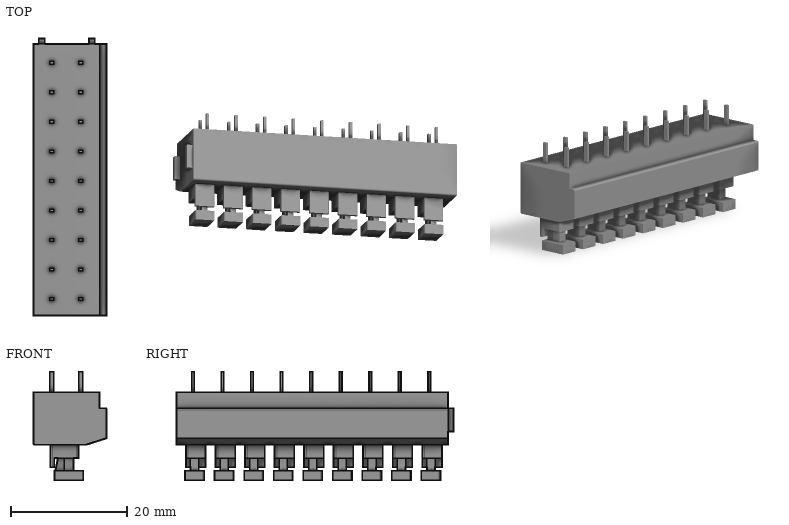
import cadquery as cq


body_length = 46.75
body_width = 12.6
body_height = 9.05
step_width = 1.2
step_depth = 2.7
bevel_width = 3.55
bevel_height = 1.15
edge_radius = 0.3

tab_width = 1.05
tab_length = 0.95
tab_height = 4.05
tab_left_edges = (0.9, 9.55)

contact_count = 9
contact_span = 40.65
pitch = contact_span / (contact_count - 1)
end_margin = 2.85
first_contact_y = end_margin - body_length / 2

pin_width = 0.7
pin_thickness = 0.5
pin_height = 3.55
row_count = 2
first_row_x = 3.15
row_spacing = 5.0

sleeve_width = 4.9
sleeve_thickness = 3.45
sleeve_depth = 2.3
sleeve_x = 2.85
sleeve_offset_y = 0.5
sleeve_radius = 0.4
skirt_width = 0.75
skirt_depth = 3.85

button_depth = 6.1
button_offset_y = 0.3
cap_x = 3.65
cap_width = 4.95
cap_thickness = 3.35
cap_height = 1.65
stem_x = 5.35
stem_width = 1.57
stem_thickness = 1.45
wedge_thickness = 0.95
wedge_top_x = 4.2
wedge_bottom_x = 3.75


def block(x, y, z, width, length, height):
    """Box with its -X side at x, centred on y, with its underside at z."""
    return cq.Workplane("XY").box(width, length, height, centered=(False, True, False)).translate((x, y, z))


def make_body():
    outline = [
        (0, 0),
        (body_width - bevel_width, 0),
        (body_width, bevel_height),
        (body_width, body_height - step_depth),
        (body_width - step_width, body_height - step_depth),
        (body_width - step_width, body_height),
        (0, body_height),
    ]
    body = cq.Workplane("XZ").polyline(outline).close().extrude(body_length / 2, both=True)
    lower_edge = cq.selectors.NearestToPointSelector((0, 0, 0))
    flange_edge = cq.selectors.NearestToPointSelector((body_width, 0, body_height - step_depth))
    return body.edges(lower_edge).fillet(edge_radius).edges(flange_edge).fillet(edge_radius)


def make_tab(x):
    middle_y = (body_length + tab_length) / 2
    underside_z = body_height - step_depth - tab_height
    return block(x, middle_y, underside_z, tab_width, tab_length, tab_height)


def make_pin(row, y):
    x = first_row_x + row * row_spacing - pin_width / 2
    return block(x, y, body_height, pin_width, pin_thickness, pin_height)


def make_sleeve(contact_y):
    """L-shaped sleeve with rounded corners on its -Y side."""
    y = contact_y + sleeve_offset_y
    collar = block(sleeve_x, y, -sleeve_depth, sleeve_width, sleeve_thickness, sleeve_depth)
    skirt = block(sleeve_x, y, -skirt_depth, skirt_width, sleeve_thickness, skirt_depth)
    sleeve = collar.union(skirt)
    corner_y = y - sleeve_thickness / 2
    for corner_x in (sleeve_x, sleeve_x + sleeve_width):
        corner = cq.selectors.NearestToPointSelector((corner_x, corner_y, -sleeve_depth / 2))
        sleeve = sleeve.edges("|Z").edges(corner).fillet(sleeve_radius)
    return sleeve


def make_button(contact_y):
    y = contact_y + button_offset_y
    stem_bottom = cap_height - button_depth
    stem_height = -sleeve_depth - stem_bottom
    cap = block(cap_x, y, -button_depth, cap_width, cap_thickness, cap_height)
    cap = cap.edges("|Z and >Y").fillet(edge_radius)
    stem = block(stem_x, y, stem_bottom, stem_width, stem_thickness, stem_height)
    wedge_outline = [
        (stem_x, stem_bottom),
        (wedge_bottom_x, stem_bottom),
        (wedge_top_x, -sleeve_depth),
        (stem_x, -sleeve_depth),
    ]
    wedge = cq.Workplane("XZ").polyline(wedge_outline).close().extrude(wedge_thickness / 2, both=True)
    return cap.union(stem).union(wedge.translate((0, y, 0)))


result = make_body()
for tab_x in tab_left_edges:
    result = result.union(make_tab(tab_x))
for index in range(contact_count):
    position_y = first_contact_y + index * pitch
    for row_index in range(row_count):
        result = result.union(make_pin(row_index, position_y))
    result = result.union(make_sleeve(position_y)).union(make_button(position_y))